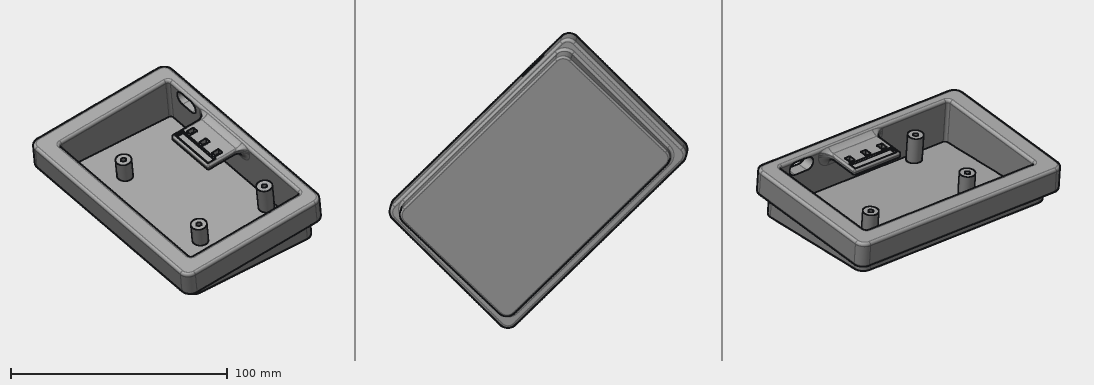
import cadquery as cq

TILT = 5.0
RIM_HEIGHT = 23.07
MARGIN = 0.01
OVERCUT = 1.0
SPACE = 300.0

BODY_X, BODY_Y, BODY_HEIGHT = 120.0, 80.0, 13.5
CORNER_R = 5.0
EDGE_R = 1.5
body_front, body_back = -BODY_Y / 2, BODY_Y / 2

BASE_SIDE_INSET = 5.0
BASE_FRONT_INSET = 5.0
BASE_BACK_INSET = 2.95
BASE_FOOT_R = 1.0
JOINT_R = 1.4
base_half_x = BODY_X / 2 - BASE_SIDE_INSET
base_front = body_front + BASE_FRONT_INSET
base_back = body_back - BASE_BACK_INSET

SIDE_WALL, FRONT_WALL, BACK_WALL = 10.0, 10.0, 6.3
CAVITY_CORNER_R = 1.5
FLOOR_THICKNESS = 3.0
cavity_half_x = BODY_X / 2 - SIDE_WALL
cavity_front = body_front + FRONT_WALL
cavity_back = body_back - BACK_WALL

POST_D, POST_HOLE_D = 7.5, 2.5
POST_TOP = -9.0
POST_HOLE_DEPTH = 8.0
POST_LEFT, POST_RIGHT = -29.3, 27.9
POST_FRONT, POST_BACK = -8.9, 29.3

TAB_CENTER_X, TAB_WIDTH, TAB_THICKNESS = -7.65, 27.8, 3.0
TAB_TOP, TAB_FRONT = -2.0, 13.5
TAB_EDGE_R = 1.0
TAB_BLEND_R = 5.0
tab_bottom = TAB_TOP - TAB_THICKNESS

WINDOW_X, WINDOW_Y, WINDOW_PITCH, WINDOW_CENTER_Y = 3.0, 3.8, 9.5, 22.4
LABEL_X, LABEL_Y, LABEL_DEPTH, LABEL_CENTER_Y = 24.6, 4.6, 0.6, 17.1

SLOT_CENTER_X, SLOT_CENTER_Z = -36.5, -5.0
SLOT_WIDTH, SLOT_HEIGHT = 14.0, 7.0


def block(x0, x1, y0, y1, z0, z1):
    return cq.Workplane("XY").box(x1 - x0, y1 - y0, z1 - z0, centered=False).translate((x0, y0, z0))


def edges_in_box(x0, x1, y0, y1, z0, z1):
    """Selector for the edges lying within a box, grown by the margin."""
    low = (x0 - MARGIN, y0 - MARGIN, z0 - MARGIN)
    high = (x1 + MARGIN, y1 + MARGIN, z1 + MARGIN)
    return cq.selectors.BoxSelector(low, high, boundingbox=True)


def to_upright(shape):
    return shape.rotate((0, 0, 0), (1, 0, 0), TILT).translate((0, 0, RIM_HEIGHT))


def to_tilted(shape):
    return shape.translate((0, 0, -RIM_HEIGHT)).rotate((0, 0, 0), (1, 0, 0), -TILT)


def space_above(height):
    """The space above a horizontal plane, in the tilted frame."""
    half = SPACE / 2
    return to_tilted(block(-half, half, -half, half, height, SPACE))


def make_outside():
    """Body and base as one solid block, standing on the ground."""
    body = block(-BODY_X / 2, BODY_X / 2, body_front, body_back, -BODY_HEIGHT, 0)
    body = body.edges("|Z").fillet(CORNER_R)
    body = body.faces("<Z or >Z").edges().fillet(EDGE_R)

    base = block(-base_half_x, base_half_x, base_front, base_back, -2 * RIM_HEIGHT, -BODY_HEIGHT)
    base = base.edges("|Z").fillet(CORNER_R)

    joint = edges_in_box(-base_half_x, base_half_x, base_front, base_back, -BODY_HEIGHT, -BODY_HEIGHT)
    outside = body.union(base).edges(joint).fillet(JOINT_R)

    upright = to_upright(outside.intersect(space_above(0)))
    return to_tilted(upright.faces("<Z").edges().fillet(BASE_FOOT_R))


def cut_cavity(part):
    cavity = block(-cavity_half_x, cavity_half_x, cavity_front, cavity_back, -2 * RIM_HEIGHT, 0)
    cavity = cavity.edges("|Z").fillet(CAVITY_CORNER_R)
    part = part.cut(cavity.intersect(space_above(FLOOR_THICKNESS)))
    mouth = edges_in_box(-cavity_half_x, cavity_half_x, cavity_front, cavity_back, 0, 0)
    return part.edges(mouth).fillet(EDGE_R)


def add_tab(part):
    left = TAB_CENTER_X - TAB_WIDTH / 2
    right = TAB_CENTER_X + TAB_WIDTH / 2
    tab = block(left, right, TAB_FRONT, cavity_back + OVERCUT, tab_bottom, TAB_TOP)
    tab = tab.edges("not >Y").fillet(TAB_EDGE_R)
    root = edges_in_box(left, right, cavity_back, cavity_back, tab_bottom, TAB_TOP)
    return part.union(tab).edges(root).fillet(TAB_BLEND_R)


def cut_windows(part):
    for step in (-1, 0, 1):
        center = (TAB_CENTER_X + step * WINDOW_PITCH, WINDOW_CENTER_Y, TAB_TOP)
        window = cq.Workplane("XY", origin=center).rect(WINDOW_X, WINDOW_Y)
        part = part.cut(window.extrude(-TAB_THICKNESS - OVERCUT))
    return part


def cut_label_recess(part):
    """Recess whose walls slope inward at 45 degrees."""
    mouth = cq.Workplane("XY", origin=(TAB_CENTER_X, LABEL_CENTER_Y, TAB_TOP)).rect(LABEL_X, LABEL_Y)
    bottom = mouth.workplane(offset=-LABEL_DEPTH).rect(LABEL_X - 2 * LABEL_DEPTH, LABEL_Y - 2 * LABEL_DEPTH)
    return part.cut(bottom.loft(ruled=True))


def add_posts(part):
    """Posts square to the rim, rooted in the floor, each with a blind screw hole."""
    root_space = space_above(FLOOR_THICKNESS / 2)
    for x, y in ((POST_LEFT, POST_FRONT), (POST_RIGHT, POST_FRONT), (POST_RIGHT, POST_BACK)):
        top = cq.Workplane("XY", origin=(x, y, POST_TOP))
        post = top.circle(POST_D / 2).extrude(-RIM_HEIGHT)
        part = part.union(post.intersect(root_space))
        part = part.cut(top.circle(POST_HOLE_D / 2).extrude(-POST_HOLE_DEPTH))
    return part


def cut_cable_slot(part):
    start = (SLOT_CENTER_X, body_back + OVERCUT, SLOT_CENTER_Z)
    slot = cq.Workplane("XZ", origin=start).slot2D(SLOT_WIDTH, SLOT_HEIGHT)
    return part.cut(slot.extrude(BACK_WALL + 2 * OVERCUT))


tray = make_outside()
tray = cut_cavity(tray)
tray = add_tab(tray)
tray = cut_windows(tray)
tray = cut_label_recess(tray)
tray = add_posts(tray)
tray = cut_cable_slot(tray)
result = to_upright(tray).solids()